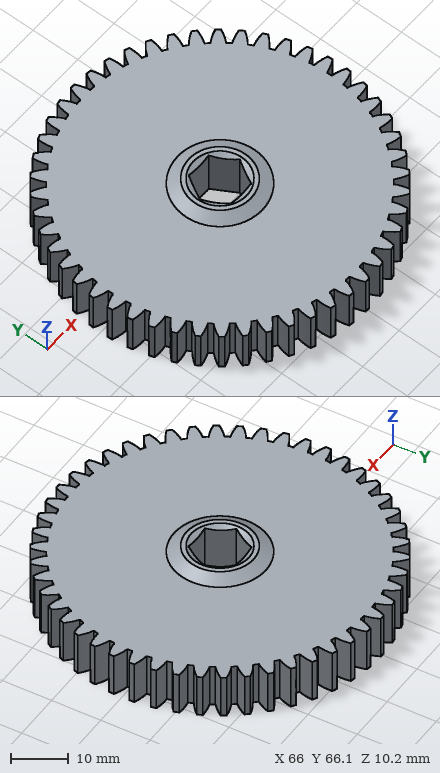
import cadquery as cq
import math

tooth_count = 50
outer_diameter = 66.05
module = outer_diameter / (tooth_count + 2)
pressure_angle = math.radians(20.0)
dedendum_factor = 1.25
flank_allowance = 0.025

gear_thickness = 8.8
total_height = 10.2
hub_base_diameter = 18.7
hub_top_diameter = 13.7

hex_across_flats = 9.5
lead_in_diameter = 11.8
lead_in_half_angle = math.radians(60.0)

outer_radius = outer_diameter / 2
pitch_radius = module * tooth_count / 2
base_radius = pitch_radius * math.cos(pressure_angle)
root_radius = pitch_radius - dedendum_factor * module


def polar(radius, angle):
    return (radius * math.cos(angle), radius * math.sin(angle))


def involute(angle):
    return math.tan(angle) - angle


def half_tooth_angle(radius):
    """Half the angle a tooth spans at a radius on or outside the base circle."""
    at_pitch = math.pi / (2 * tooth_count) + flank_allowance / pitch_radius
    return at_pitch + involute(pressure_angle) - involute(math.acos(base_radius / radius))


def gear_outline():
    """Closed outline of the gear, with one tooth centred on +Y."""
    tooth_pitch = 2 * math.pi / tooth_count
    first_centre = math.pi / 2
    root_half_angle = half_tooth_angle(root_radius)
    flank_radii = [root_radius, (root_radius + outer_radius) / 2, outer_radius]

    outline = cq.Workplane("XY").moveTo(*polar(root_radius, first_centre - root_half_angle))
    for i in range(tooth_count):
        centre = first_centre + i * tooth_pitch
        rising = [polar(r, centre - half_tooth_angle(r)) for r in flank_radii]
        falling = [polar(r, centre + half_tooth_angle(r)) for r in reversed(flank_radii)]
        outline = outline.spline(rising[1:], includeCurrent=True)
        outline = outline.threePointArc(polar(outer_radius, centre), falling[0])
        outline = outline.spline(falling[1:], includeCurrent=True)
        outline = outline.threePointArc(
            polar(root_radius, centre + tooth_pitch / 2),
            polar(root_radius, centre + tooth_pitch - root_half_angle),
        )
    return outline.close()


def cone(bottom_diameter, top_diameter, bottom_z, top_z):
    solid = cq.Solid.makeCone(
        bottom_diameter / 2, top_diameter / 2, top_z - bottom_z, pnt=cq.Vector(0, 0, bottom_z)
    )
    return cq.Workplane(obj=solid)


def hex_bore():
    across_corners = hex_across_flats / math.cos(math.pi / 6)
    return cq.Workplane("XY").polygon(6, across_corners).extrude(total_height)


def lead_in():
    """Cone narrowing downwards from the hub top until it meets the hex flats."""
    depth = (lead_in_diameter - hex_across_flats) / 2 / math.tan(lead_in_half_angle)
    return cone(hex_across_flats, lead_in_diameter, total_height - depth, total_height)


gear = gear_outline().extrude(gear_thickness)
hub = cone(hub_base_diameter, hub_top_diameter, gear_thickness, total_height)
result = gear.union(hub).cut(hex_bore()).cut(lead_in())